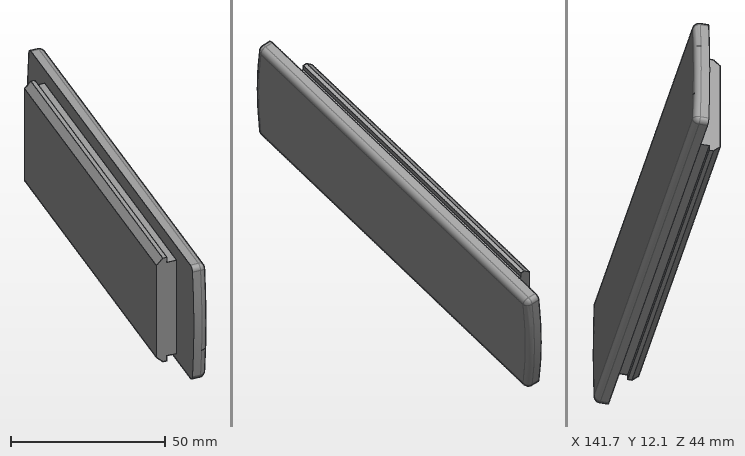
import cadquery as cq

plate_length = 141.7
plate_height = 44.0
plate_thickness = 5.0
end_bulge = 1.4
corner_radius = 1.8
back_edge_radius = 2.1

insert_length = 112.2
insert_center_z = -1.4
insert_depth = 7.1
lip_height = 40.2
neck_height = 36.3
groove_width = 3.4
lip_bevel = 2.3


def make_plate():
    """Rectangular plate with bowed ends, rounded corners and a rounded back edge."""
    half_length = plate_length / 2
    half_height = plate_height / 2
    corner_x = half_length - end_bulge
    outline = (
        cq.Workplane("XZ")
        .moveTo(-corner_x, -half_height)
        .lineTo(corner_x, -half_height)
        .threePointArc((half_length, 0), (corner_x, half_height))
        .lineTo(-corner_x, half_height)
        .threePointArc((-half_length, 0), (-corner_x, -half_height))
        .close()
    )
    plate = outline.extrude(-plate_thickness)
    plate = plate.edges("|Y").fillet(corner_radius)
    return plate.faces(">Y").edges().fillet(back_edge_radius)


def make_insert():
    """T-shaped block with a bevelled lip along its upper and lower edges."""
    half_neck = neck_height / 2
    half_lip = lip_height / 2
    upper_half = [
        (0, half_neck),
        (-groove_width, half_neck),
        (-groove_width, half_lip),
        (-insert_depth + lip_bevel, half_lip),
        (-insert_depth, half_lip - lip_bevel),
    ]
    lower_half = [(y, -z) for y, z in reversed(upper_half)]
    return (
        cq.Workplane("YZ")
        .polyline(upper_half + lower_half)
        .close()
        .extrude(insert_length / 2, both=True)
        .translate((0, 0, insert_center_z))
    )


result = make_plate().union(make_insert())